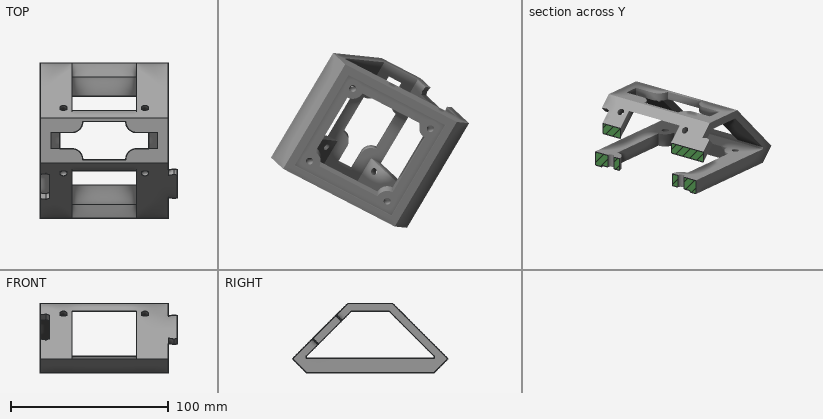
import cadquery as cq
import math

body_length = 81.3
overall_width = 98.65
height = 44.0
belly_height = 8.9
wall = 5.0
floor_height = 9.3
half_width = overall_width / 2
base_half_width = half_width - belly_height
roof_half_width = half_width - (height - belly_height)
ceiling_height = height - wall

outer_sum = half_width + belly_height
inner_sum = outer_sum - wall * math.sqrt(2)
inner_half_width = inner_sum - ceiling_height
inner_edge_height = inner_sum - base_half_width

window_width = 40.8
corner_radius = 7.0
roof_slot_length = 67.3
roof_slot_width = 10.1
roof_middle_length = 27.1
roof_middle_width = roof_slot_width + 2 * corner_radius
floor_opening_length = 56.4
floor_opening_width = 56.2
recess_depth = 1.0
recess_length = floor_opening_length + 2 * corner_radius
recess_width = floor_opening_width + 2 * corner_radius

hole_diameter = 4.5
wall_hole_spacing = 51.7
wall_hole_height = 37.5

joint_height = 29.1
tab_reach = 5.7
tab_root_half = 10.0
tab_wide_half = 10.9
tab_tip_half = 10.2
tab_wide_reach = 3.7
socket_depth = 5.9
socket_root_half = 10.9
socket_wide_half = 11.5
socket_tip_half = 10.5


def front_wall_plane(z):
    """Plane on the outer face of the front wall, with its normal outward and local Y up the slope."""
    return cq.Workplane(cq.Plane(origin=(0, z - outer_sum, z), xDir=(1, 0, 0), normal=(0, -1, 1)))


def extrude_along_x(points, length):
    """Y-Z outline extruded evenly to both sides of X = 0."""
    return cq.Workplane("YZ").polyline(points).close().extrude(length / 2, both=True)


def make_body():
    outer = [
        (-base_half_width, 0),
        (base_half_width, 0),
        (half_width, belly_height),
        (roof_half_width, height),
        (-roof_half_width, height),
        (-half_width, belly_height),
    ]
    inner = [
        (-base_half_width, floor_height),
        (base_half_width, floor_height),
        (base_half_width, inner_edge_height),
        (inner_half_width, ceiling_height),
        (-inner_half_width, ceiling_height),
        (-base_half_width, inner_edge_height),
    ]
    return extrude_along_x(outer, body_length).cut(extrude_along_x(inner, body_length))


def make_wall_openings():
    """Front wall window and screw holes; the window sill slopes out to the belly edge."""
    window = extrude_along_x(
        [
            (-half_width, belly_height),
            (-base_half_width, inner_edge_height),
            (-inner_half_width, ceiling_height),
            (ceiling_height - outer_sum, ceiling_height),
        ],
        window_width,
    )
    holes = (
        front_wall_plane(wall_hole_height)
        .pushPoints([(-wall_hole_spacing / 2, 0), (wall_hole_spacing / 2, 0)])
        .circle(hole_diameter / 2)
        .extrude(-wall)
    )
    return window.union(holes)


def make_roof_opening():
    """Cross-shaped opening whose four inner corners are rounded."""
    slot_x = roof_slot_length / 2
    slot_y = roof_slot_width / 2
    middle_x = roof_middle_length / 2
    middle_y = roof_middle_width / 2
    arc_x = middle_x + corner_radius
    quarter = (
        cq.Workplane("XY", origin=(0, 0, ceiling_height))
        .lineTo(slot_x, 0)
        .lineTo(slot_x, slot_y)
        .lineTo(arc_x, slot_y)
        .radiusArc((middle_x, middle_y), corner_radius)
        .lineTo(0, middle_y)
        .close()
        .extrude(wall)
    )
    half = quarter.union(quarter.mirror("YZ"))
    return half.union(half.mirror("XZ"))


def make_floor_opening():
    """Rectangular opening that leaves a round pad with a screw hole at each corner."""
    opening = cq.Workplane("XY").rect(floor_opening_length, floor_opening_width).extrude(floor_height)
    corners = cq.Workplane("XY").rect(floor_opening_length, floor_opening_width, forConstruction=True).vertices()
    pads = corners.circle(corner_radius).extrude(floor_height)
    holes = corners.circle(hole_diameter / 2).extrude(floor_height)
    return opening.cut(pads).union(holes)


def make_underside_recess():
    """Shallow rectangular seat around the floor opening, just wide enough to cover the pads."""
    return cq.Workplane("XY").rect(recess_length, recess_width).extrude(recess_depth)


def make_joint(start_x, reach, root_half, wide_half, tip_half):
    """Tab shape that flares from its root and narrows again to its tip, one wall thick."""
    outline = [
        (start_x, -root_half),
        (start_x + tab_wide_reach, -wide_half),
        (start_x + reach, -tip_half),
        (start_x + reach, tip_half),
        (start_x + tab_wide_reach, wide_half),
        (start_x, root_half),
    ]
    return front_wall_plane(joint_height).polyline(outline).close().extrude(-wall)


front_openings = make_wall_openings()
tab = make_joint(body_length / 2, tab_reach, tab_root_half, tab_wide_half, tab_tip_half)
socket = make_joint(-body_length / 2, socket_depth, socket_root_half, socket_wide_half, socket_tip_half)

result = (
    make_body()
    .cut(front_openings)
    .cut(front_openings.mirror("XZ"))
    .cut(make_roof_opening())
    .cut(make_floor_opening())
    .cut(make_underside_recess())
    .cut(socket)
    .union(tab)
)